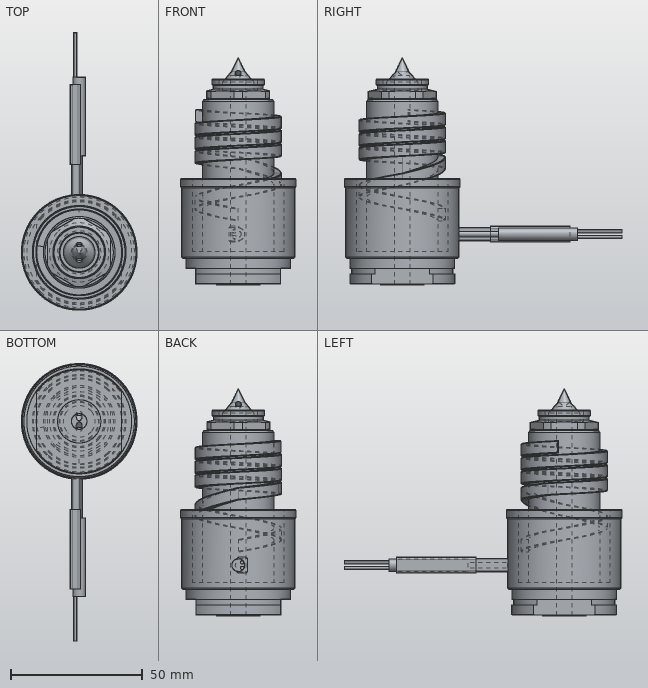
import cadquery as cq
import math

total_height = 86.3
total_length = 105.5

pad_radius = 8.2
pad_top = 0.3
foot_radius = 19.9
foot_chamfer = 0.3
foot_top = 4.2
foot_groove_radius = 19.2
foot_groove_top = 6.3
foot_flats = 32.3
collar_top = 10.1
body_radius = 21.5
body_chamfer = 0.5
flange_diameter = 44.0
flange_radius = flange_diameter / 2
flange_bottom = 36.9
flange_top = 40.5
flange_chamfer = 0.4
chamber_radius = 17.4
chamber_floor = 12.7
chamber_chamfer = 0.4

stem_radius = 13.6
stem_top = 70.4
stem_chamfer = 0.6
hex_neck_radius = 11.3
hex_bottom = 70.9
hex_shoulder = 73.4
hex_flats = 24.0
hex_corner_radius = 13.0
cone_top = 74.4
cone_top_radius = 9.5
ring_bottom = 75.7
ring_top = 78.3
ring_radius = 10.0
ring_chamfer = 0.4

well_radius = 7.3
well_chamfer = 0.3
well_floor = 73.8
tip_radius = 6.0
tip_chamfer = 0.4
tip_shoulder = 77.4
needle_radius = 2.5
needle_base = 81.1
melt_bore_radius = 3.0
melt_bore_top = 79.7
outlet_radius = 1.2
outlet_offset = 3.1

coil_radius = 16.5
coil_band = 4.7
coil_chamfer = 0.3
coil_overlap = 0.2
coil_end_angle = 171.0
coil_end_height = 64.2
coil_stretches = [
    (5.3, 3 * 360 + 13),
    (9.5, 68),
    (25.3, 90),
    (17.9, 270),
]

wire_radius = 0.6
wire_x = -1.5
wire_spacing = 2.1
cable_height = 19.3
cable_x = -1.3
cable_width = 3.3
core_radius = 1.2
cable_depth = 5.2
cable_rounding = 0.5
sleeve_x = -1.5
sleeve_width = 4.0
sleeve_depth = 6.1
sleeve_rounding = 1.0
sleeve_start = 33.4
sleeve_end = 63.7
tube_radius = 2.4
tube_start = 36.6
tube_end = 66.6
wire_end = total_length - flange_radius


def revolved(points):
    """Solid of revolution about Z from (radius, height) points closed along the axis."""
    return cq.Workplane("XZ").polyline(points).close().revolve(360, (0, 0, 0), (0, 1, 0))


def cylinder(radius, bottom, top):
    return cq.Workplane("XY").workplane(offset=bottom).circle(radius).extrude(top - bottom)


def make_foot():
    foot = revolved([
        (0, pad_top),
        (foot_radius - foot_chamfer, pad_top),
        (foot_radius, pad_top + foot_chamfer),
        (foot_radius, foot_top),
        (foot_groove_radius, foot_top),
        (foot_groove_radius, foot_groove_top),
        (0, foot_groove_top),
    ])
    between_flats = cq.Workplane("XY").box(
        foot_flats, 2 * foot_radius, foot_groove_top, centered=(True, True, False)
    )
    return foot.intersect(between_flats).union(cylinder(pad_radius, 0, pad_top))


def make_body():
    body = revolved([
        (0, foot_groove_top),
        (foot_radius, foot_groove_top),
        (foot_radius, collar_top),
        (body_radius - body_chamfer, collar_top),
        (body_radius, collar_top + body_chamfer),
        (body_radius, flange_bottom),
        (flange_radius - flange_chamfer, flange_bottom),
        (flange_radius, flange_bottom + flange_chamfer),
        (flange_radius, flange_top - flange_chamfer),
        (flange_radius - flange_chamfer, flange_top),
        (0, flange_top),
    ])
    chamber = revolved([
        (0, chamber_floor),
        (chamber_radius, chamber_floor),
        (chamber_radius, flange_top - chamber_chamfer),
        (chamber_radius + chamber_chamfer, flange_top),
        (0, flange_top),
    ])
    return body.cut(chamber)


def make_stem():
    return revolved([
        (0, chamber_floor),
        (stem_radius, chamber_floor),
        (stem_radius, stem_top - stem_chamfer),
        (stem_radius - stem_chamfer, stem_top),
        (hex_neck_radius, stem_top),
        (hex_neck_radius, hex_bottom),
        (0, hex_bottom),
    ])


def make_head():
    hexagon = (
        cq.Workplane("XY", origin=(0, 0, hex_bottom))
        .polygon(6, hex_flats, circumscribed=True)
        .extrude(cone_top - hex_bottom)
    )
    turned_blank = revolved([
        (0, hex_bottom),
        (hex_corner_radius, hex_bottom),
        (hex_corner_radius, hex_shoulder),
        (cone_top_radius, cone_top),
        (0, cone_top),
    ])
    ring = revolved([
        (0, cone_top),
        (cone_top_radius, cone_top),
        (cone_top_radius, ring_bottom),
        (ring_radius, ring_bottom + ring_chamfer),
        (ring_radius, ring_top - ring_chamfer),
        (ring_radius - ring_chamfer, ring_top),
        (0, ring_top),
    ])
    well = revolved([
        (0, well_floor),
        (well_radius, well_floor),
        (well_radius, ring_top - well_chamfer),
        (well_radius + well_chamfer, ring_top),
        (0, ring_top),
    ])
    return hexagon.intersect(turned_blank).union(ring).cut(well)


def make_tip():
    return revolved([
        (0, well_floor),
        (tip_radius, well_floor),
        (tip_radius, tip_shoulder - tip_chamfer),
        (tip_radius - tip_chamfer, tip_shoulder),
        (needle_radius, needle_base),
        (0, total_height),
    ])


def make_melt_passages():
    """Axial bore that splits into two outlets square to the wide cone, towards -Y and +Y."""
    passages = cylinder(melt_bore_radius, 0, melt_bore_top)
    cone_run = tip_radius - tip_chamfer - needle_radius
    cone_rise = needle_base - tip_shoulder
    outlet_height = needle_base - (outlet_offset - needle_radius) * cone_rise / cone_run
    root_height = outlet_height - outlet_offset * cone_run / cone_rise
    root = cq.Vector(0, 0, root_height)
    outlet_length = 2 * math.hypot(outlet_offset, outlet_height - root_height)
    for side in (-1, 1):
        direction = cq.Vector(0, side * cone_rise, cone_run)
        outlet = cq.Solid.makeCylinder(outlet_radius, outlet_length, root, direction)
        passages = passages.union(cq.Workplane(outlet))
    return passages


def coil_stretch(pitch, swept_angle, upper_angle, upper_height):
    """Chamfered band following a right-hand helix down from its upper end."""
    drop = pitch * swept_angle / 360
    inner = stem_radius - coil_overlap
    half = coil_band / 2
    profile = (
        cq.Workplane("XZ")
        .polyline([
            (inner, -half),
            (coil_radius - coil_chamfer, -half),
            (coil_radius, coil_chamfer - half),
            (coil_radius, half - coil_chamfer),
            (coil_radius - coil_chamfer, half),
            (inner, half),
        ])
        .close()
    )
    path = cq.Workplane(cq.Wire.makeHelix(pitch, drop, coil_radius))
    band = profile.sweep(path, isFrenet=True)
    lower_angle = upper_angle - swept_angle
    return band.rotate((0, 0, 0), (0, 0, 1), lower_angle).translate((0, 0, upper_height - drop))


def make_coil():
    coil = cq.Workplane("XY")
    angle = coil_end_angle
    height = coil_end_height
    for pitch, swept_angle in coil_stretches:
        coil = coil.add(coil_stretch(pitch, swept_angle, angle, height))
        angle -= swept_angle
        height -= pitch * swept_angle / 360
    return coil.combine()


def rod_along_y(radius, x, z, start, end):
    return cq.Workplane("XZ", origin=(x, start, z)).circle(radius).extrude(start - end)


def rounded_bar(x, width, depth, rounding, start, end):
    bar = cq.Workplane("XZ", origin=(x, start, cable_height)).rect(width, depth).extrude(start - end)
    return bar.edges("|Y").fillet(rounding)


def make_cable():
    wall_middle = (chamber_radius + body_radius) / 2
    cable = rounded_bar(cable_x, cable_width, cable_depth, cable_rounding, wall_middle, sleeve_end)
    cable = cable.union(
        rounded_bar(sleeve_x, sleeve_width, sleeve_depth, sleeve_rounding, sleeve_start, sleeve_end)
    )
    cable = cable.union(rod_along_y(core_radius, 0, cable_height, wall_middle, tube_start))
    cable = cable.union(rod_along_y(tube_radius, 0, cable_height, tube_start, tube_end))
    for side in (-1, 1):
        wire_height = cable_height + side * wire_spacing / 2
        cable = cable.union(rod_along_y(wire_radius, wire_x, wire_height, tube_end, wire_end))
    return cable


solid = make_foot().union(make_body()).union(make_stem()).union(make_head()).union(make_tip())
solid = solid.cut(make_melt_passages())
result = solid.union(make_coil()).union(make_cable())